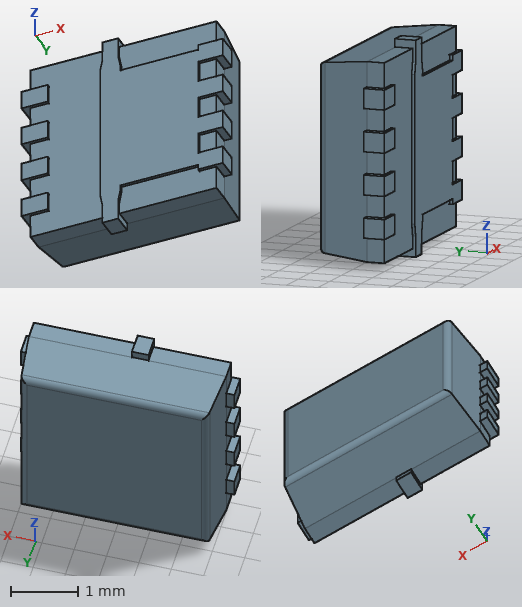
import cadquery as cq

span = 3.3
height = 1.12
body_side = 3.05
standoff = 0.05
metal_thickness = 0.33
draft_angle = 6.0
edge_radius = 0.102

lead_count = 4
lead_pitch = 0.657
lead_width = 0.305
lead_length = 0.43
finger_length = 0.403
lead_heights = [(i - (lead_count - 1) / 2) * lead_pitch for i in range(lead_count)]

bar_center_x = -0.195
bar_end_width = 0.257
bar_middle_width = 0.33
taper_start_z = 1.14
taper_end_z = 1.323
pad_height = 2.105

half_span = span / 2


def metal_block(x_min, x_max, z_center, z_size):
    """Rectangular piece of metal standing on the mounting face."""
    return (
        cq.Workplane("XY")
        .box(x_max - x_min, metal_thickness, z_size, centered=(False, False, True))
        .translate((x_min, 0, z_center))
    )


def make_lead(z_center):
    """Single lead reaching in from the -X side."""
    return metal_block(-half_span, -half_span + lead_length, z_center, lead_width)


def make_tie_bar():
    """Bar along Z with a wide middle tapering to narrow ends."""
    half_end = bar_end_width / 2
    half_middle = bar_middle_width / 2
    right_side = [
        (half_end, -half_span),
        (half_end, -taper_end_z),
        (half_middle, -taper_start_z),
        (half_middle, taper_start_z),
        (half_end, taper_end_z),
        (half_end, half_span),
    ]
    left_side = [(-x, -z) for x, z in right_side]
    return (
        cq.Workplane("XZ")
        .polyline(right_side + left_side)
        .close()
        .extrude(-metal_thickness)
        .translate((bar_center_x, 0, 0))
    )


def make_frame():
    """Tie bar, pad and fingers as one piece of metal."""
    finger_start_x = half_span - finger_length
    frame = make_tie_bar().union(metal_block(bar_center_x, finger_start_x, 0, pad_height))
    for z_center in lead_heights:
        frame = frame.union(metal_block(finger_start_x, half_span, z_center, lead_width))
    return frame


def make_housing(metal_parts):
    """Moulded block with drafted walls, recessed to fit the metal parts."""
    base = (
        cq.Workplane("ZX", origin=(0, standoff, 0))
        .rect(body_side, body_side)
        .extrude(metal_thickness - standoff)
    )
    cap = (
        cq.Workplane("ZX", origin=(0, metal_thickness, 0))
        .rect(body_side, body_side)
        .extrude(height - metal_thickness, taper=draft_angle)
        .faces(">Y")
        .edges()
        .fillet(edge_radius)
    )
    housing = base.union(cap)
    for part in metal_parts:
        housing = housing.cut(part)
    return housing


leads = [make_lead(z_center) for z_center in lead_heights]
frame = make_frame()
housing = make_housing(leads + [frame])

result = cq.Compound.makeCompound(
    [housing.solids().val(), frame.solids().val(), *[lead.val() for lead in leads]]
)